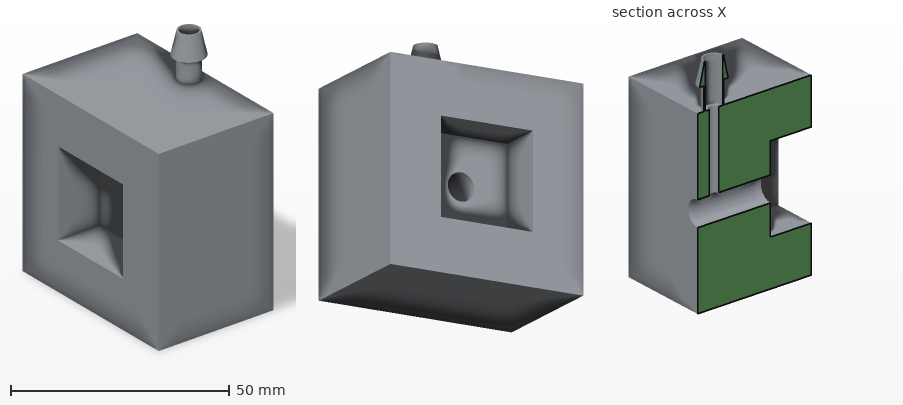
import cadquery as cq

block_side = 50.8
block_depth = 33.35

pocket_side = 24.25
pocket_depth = 12.0
through_hole_diameter = 7.0

barb_back_offset = 4.75
stem_diameter = 6.05
stem_height = 6.35
barb_base_diameter = 8.6
barb_tip_diameter = 5.7
barb_height = 6.35
barb_bore_diameter = 4.95
passage_diameter = 2.65

middle_z = block_side / 2
barb_y = block_depth / 2 - barb_back_offset
fitting_height = stem_height + barb_height


def make_block():
    return cq.Workplane("XY").box(block_side, block_depth, block_side, centered=(True, True, False))


def make_pocket():
    pocket = cq.Workplane("XY").box(pocket_side, pocket_depth, pocket_side)
    return pocket.translate((0, (pocket_depth - block_depth) / 2, middle_z))


def make_through_hole():
    hole = cq.Workplane("XZ").circle(through_hole_diameter / 2).extrude(block_depth / 2, both=True)
    return hole.translate((0, 0, middle_z))


def make_barb():
    """Straight stem with a tapered tip, turned about its own vertical axis."""
    profile = (
        cq.Workplane("XZ")
        .lineTo(stem_diameter / 2, 0)
        .lineTo(stem_diameter / 2, stem_height)
        .lineTo(barb_base_diameter / 2, stem_height)
        .lineTo(barb_tip_diameter / 2, fitting_height)
        .lineTo(0, fitting_height)
        .close()
    )
    return profile.revolve(360, (0, 0), (0, 1)).translate((0, barb_y, block_side))


def make_barb_bore():
    bore = cq.Workplane("XY").circle(barb_bore_diameter / 2).extrude(fitting_height)
    return bore.translate((0, barb_y, block_side))


def make_passage():
    """Narrow passage from the barb bore down into the through hole."""
    passage = cq.Workplane("XY").circle(passage_diameter / 2).extrude(block_side - middle_z)
    return passage.translate((0, barb_y, middle_z))


body = make_block().union(make_barb())
result = body.cut(make_pocket()).cut(make_through_hole()).cut(make_barb_bore()).cut(make_passage())